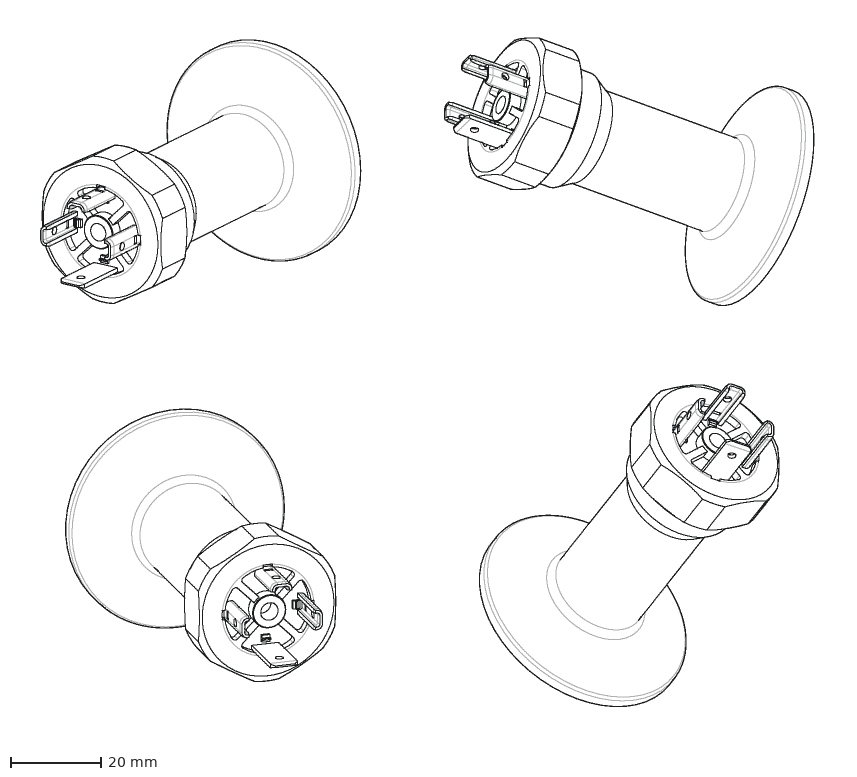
import cadquery as cq
import math

total_length = 76.9
blade_length = 11.8
flange_back = total_length - blade_length

flange_radius = 50.5 / 2
tube_radius = 22.0 / 2
collar_radius = 27.0 / 2
flange_rim_width = 2.8
flange_cone_angle = 20.0
flange_rim_fillet = 0.8
flange_neck_fillet = 2.0
tube_end = 21.45
collar_start = 17.1

nut_length = 10.85
nut_across_flats = 32.0
nut_corner_radius = 17.1
nut_face_radius = 15.45
nut_chamfer_length = 1.0

bore_radius = 21.5 / 2
pocket_depth = 2.0
pocket_radius = 10.15
pocket_corner_fillet = 0.8
spoke_width = 1.7
keyway_width = 2.15
keyway_overlap = 0.4
boss_radius = 7.8 / 2
boss_height = 0.9
boss_chamfer = 0.15
boss_hole_diameter = 4.1
boss_hole_depth = 5.0

contact_outer_face = 9.6
contact_thickness = 1.0
contact_hole_diameter = 1.8
pin_length = 9.8
pin_width = 4.9
pin_leg_height = 2.0
pin_bend_radius = 1.45
pin_tip_length = 1.0
pin_tip_inset = 0.19
pin_hole_position = 5.5
window_width = 1.85
window_reach = 0.7
pin_angles = (0, 90, 180)
blade_angle = 270
blade_width = 6.3
blade_corner_chamfer = 0.85
blade_taper_length = 1.15
blade_tip_thickness = 0.4
blade_hole_position = 7.7

lug_inner_face = 6.3
lug_outer_face = 7.9
lug_width = 1.85
lug_height = 0.6
ridge_thickness = 0.3
ridge_height = 1.2


def facing_out(y):
    """Work plane across the axis at height y, with its normal towards -Y."""
    return cq.Workplane("XZ", origin=(0, y, 0))


def about_axis(shape, angle):
    """Turn a shape from the +X side to the given angle, +Z being 90 degrees."""
    return shape.rotate((0, 0, 0), (0, -1, 0), angle)


def make_body():
    cone_rise = (flange_radius - tube_radius) * math.tan(math.radians(flange_cone_angle))
    rim_y = flange_back - flange_rim_width
    neck_y = rim_y - cone_rise
    outline = [
        (0, flange_back),
        (flange_radius, flange_back),
        (flange_radius, rim_y),
        (tube_radius, neck_y),
        (tube_radius, tube_end),
        (collar_radius, collar_start),
        (collar_radius, nut_length),
        (0, nut_length),
    ]
    body = cq.Workplane("XY").polyline(outline).close().revolve(360, (0, 0), (0, 1))
    body = edges_at(body, rim_y).fillet(flange_rim_fillet)
    return edges_at(body, neck_y).fillet(flange_neck_fillet)


def edges_at(body, y):
    """Circular edges of a turned body in the plane at height y."""
    margin = 0.01
    reach = 2 * flange_radius
    return body.edges(cq.selectors.BoxSelector((-reach, y - margin, -reach), (reach, y + margin, reach)))


def make_nut():
    corner_diameter = nut_across_flats / math.cos(math.pi / 6)
    hexagon = facing_out(nut_length).polygon(6, corner_diameter).extrude(nut_length)
    hexagon = about_axis(hexagon, 30)
    outline = [
        (0, 0),
        (nut_face_radius, 0),
        (nut_corner_radius, nut_chamfer_length),
        (nut_corner_radius, nut_length - nut_chamfer_length),
        (nut_face_radius, nut_length),
        (0, nut_length),
    ]
    turned = cq.Workplane("XY").polyline(outline).close().revolve(360, (0, 0), (0, 1))
    bore = facing_out(pocket_depth).circle(bore_radius).extrude(pocket_depth)
    return hexagon.intersect(turned).cut(bore)


def make_pockets():
    """Four sector pockets between the spokes."""
    ring = facing_out(pocket_depth).circle(pocket_radius).circle(boss_radius).extrude(pocket_depth)
    for angle in (45, 135):
        spoke = facing_out(pocket_depth).rect(2 * bore_radius, spoke_width).extrude(pocket_depth)
        ring = ring.cut(about_axis(spoke, angle))
    inner_corners = cq.selectors.BoxSelector(
        (-boss_radius, 0, -boss_radius), (boss_radius, pocket_depth, boss_radius)
    )
    outer_corners = ring.edges("|Y").edges(cq.selectors.InverseSelector(inner_corners))
    return outer_corners.fillet(pocket_corner_fillet)


def make_keyways():
    """Four slots that overlap the pockets and run out to the wall of the nut's bore."""
    ring = facing_out(pocket_depth).circle(bore_radius).circle(pocket_radius - keyway_overlap)
    ring = ring.extrude(pocket_depth)
    slot = facing_out(pocket_depth).rect(2 * bore_radius, keyway_width).extrude(pocket_depth)
    return ring.intersect(slot.union(about_axis(slot, 90)))


def make_insert():
    disc = facing_out(pocket_depth).circle(bore_radius).extrude(pocket_depth)
    boss = facing_out(pocket_depth).circle(boss_radius).extrude(pocket_depth + boss_height)
    boss = boss.faces("<Y").chamfer(boss_chamfer)
    return disc.cut(make_pockets()).cut(make_keyways()).union(boss)


def make_contact_hole(position):
    """Hole through a contact on the +X side, at a distance out from the nut face."""
    hole = cq.Workplane("YZ", origin=(contact_outer_face - contact_thickness, -position, 0))
    return hole.circle(contact_hole_diameter / 2).extrude(contact_thickness)


def make_lug():
    """Lug on the +X side, with a ridge across its middle."""
    base = facing_out(pocket_depth).center((lug_inner_face + lug_outer_face) / 2, 0)
    lug = base.rect(lug_outer_face - lug_inner_face, lug_width).extrude(lug_height)
    return lug.union(base.rect(ridge_thickness, lug_width).extrude(ridge_height))


def make_pin():
    """U-shaped pin on the +X side, open towards the axis."""
    outer = contact_outer_face
    inner = outer - contact_thickness
    leg_end = outer - pin_leg_height
    half = pin_width / 2
    half_inside = half - contact_thickness
    bend_inside = pin_bend_radius - contact_thickness
    outer_mid = pin_bend_radius * (1 - math.sqrt(0.5))
    inner_mid = bend_inside * (1 - math.sqrt(0.5))

    def channel(y):
        return (
            facing_out(y)
            .moveTo(leg_end, half)
            .lineTo(outer - pin_bend_radius, half)
            .threePointArc((outer - outer_mid, half - outer_mid), (outer, half - pin_bend_radius))
            .lineTo(outer, pin_bend_radius - half)
            .threePointArc((outer - outer_mid, outer_mid - half), (outer - pin_bend_radius, -half))
            .lineTo(leg_end, -half)
            .lineTo(leg_end, -half_inside)
            .lineTo(inner - bend_inside, -half_inside)
            .threePointArc((inner - inner_mid, inner_mid - half_inside), (inner, bend_inside - half_inside))
            .lineTo(inner, half_inside - bend_inside)
            .threePointArc((inner - inner_mid, half_inside - inner_mid), (inner - bend_inside, half_inside))
            .lineTo(leg_end, half_inside)
            .close()
        )

    tip_start = pin_tip_length - pin_length
    tip_taper = math.degrees(math.atan(pin_tip_inset / pin_tip_length))
    shank = channel(pocket_depth).extrude(pocket_depth - tip_start)
    tip = channel(tip_start).extrude(pin_tip_length, taper=tip_taper)
    window = facing_out(0).center(outer - contact_thickness / 2, 0)
    window = window.rect(contact_thickness, window_width).extrude(window_reach)
    return shank.union(tip).cut(window).cut(make_contact_hole(pin_hole_position))


def make_blade():
    """Flat blade on the +X side with a pointed tip."""
    middle = contact_outer_face - contact_thickness / 2
    blade = facing_out(pocket_depth).center(middle, 0).rect(contact_thickness, blade_width)
    blade = blade.extrude(pocket_depth + blade_length)
    blade = blade.edges("<Y and |X").chamfer(blade_corner_chamfer)
    half = contact_thickness / 2
    half_tip = blade_tip_thickness / 2
    side = [
        (middle - half, pocket_depth),
        (middle + half, pocket_depth),
        (middle + half, blade_taper_length - blade_length),
        (middle + half_tip, -blade_length),
        (middle - half_tip, -blade_length),
        (middle - half, blade_taper_length - blade_length),
    ]
    envelope = cq.Workplane("XY").polyline(side).close().extrude(blade_width / 2, both=True)
    return blade.intersect(envelope).cut(make_contact_hole(blade_hole_position))


boss_hole = facing_out(boss_hole_depth - boss_height).circle(boss_hole_diameter / 2).extrude(boss_hole_depth)
shell = make_body().union(make_nut())
result = shell.union(make_insert(), clean=False).cut(boss_hole, clean=False)
contacts = [(make_pin(), angle) for angle in pin_angles]
contacts.append((make_blade(), blade_angle))
for contact, angle in contacts:
    result = result.union(about_axis(contact, angle), clean=False)
    result = result.union(about_axis(make_lug(), angle), clean=False)